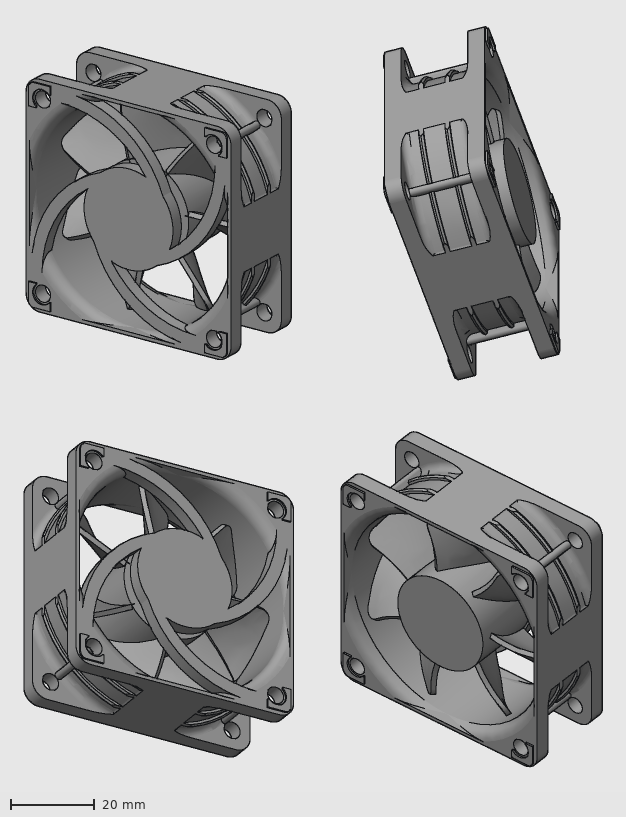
import cadquery as cq
import math


frame_size = 60.0
frame_depth = 25.0
frame_corner_radius = 4.0
flange_thickness = 4.2
front_y = -frame_depth / 2
back_y = frame_depth / 2
channel_depth = frame_depth - 2 * flange_thickness
corner_angles = (0, 90, 180, 270)

bore_diameter = 58.0
bore_radius = bore_diameter / 2
mouth_flare_radius = 3.0
barrel_radius = 31.0
barrel_fillet_radius = 2.0

pocket_start = 8.4
pocket_wall_run = 0.55
pocket_wall_drop = 0.35

ridge_positions = (-3.35, 3.25)
ridge_width = 1.2
ridge_shoulder_radius = 31.7
ridge_peak_radius = 32.05

post_offset = 22.8
post_diameter = 2.0
hole_offset = 25.0
hole_diameter = 4.4

mount_radius = 13.0
mount_thickness = 3.5
arm_count = 4
arm_outer_center = (-18.65, -2.2)
arm_outer_radius = 30.6
arm_outer_angles = (92, 15)
arm_inner_center = (-19.8, -4.5)
arm_inner_radius = 29.8
arm_inner_angles = (92, 30)

pad_thickness = 0.5
pad_inset = 1.0
pad_size = 6.35
pad_leg_width = 2.2
pad_corner_radius = 1.5
pad_hole_diameter = 5.4

rotor_radius = 13.0
rotor_front_y = -6.0
rotor_back_y = 12.0
blade_count = 7
blade_tip_radius = 28.2
blade_thickness = 1.3
blade_bow = 0.9
blade_back_y = 9.3
blade_corner_radius = 3.0
blade_stations = (
    (11.4, -5.3, -5.4, 3.1),
    (20.4, -7.25, -5.1, 4.45),
    (30.0, -8.4, -3.9, 9.85),
)


def face_plane(y):
    """Workplane at the given Y whose axes are X and Z; it extrudes toward -Y."""
    return cq.Workplane("XZ", origin=(0, y, 0))


def disc(radius, y_start, y_end):
    """Cylinder on the fan axis between two Y positions."""
    return face_plane(y_end).circle(radius).extrude(y_end - y_start)


def spin(body, angle):
    """Turn a body about the fan axis."""
    return body.rotate((0, 0, 0), (0, 1, 0), angle)


def revolve_about_axis(profile):
    """Turn a closed (radius, y) profile drawn in the XY plane around the Y axis."""
    return profile.close().revolve(360, (0, 0, 0), (0, 1, 0))


def point_on_circle(center, radius, angle):
    a = math.radians(angle)
    return (center[0] + radius * math.cos(a), center[1] + radius * math.sin(a))


def make_barrel():
    """Outer shape of the duct wall, flaring into both flanges and carrying the pointed ridges."""
    half = channel_depth / 2
    fillet = barrel_fillet_radius
    flare_radius = barrel_radius + fillet
    bulge = fillet * (1 - math.sqrt(0.5))
    barrel = revolve_about_axis(
        cq.Workplane("XY")
        .moveTo(0, -half)
        .lineTo(flare_radius, -half)
        .threePointArc((barrel_radius + bulge, -half + bulge), (barrel_radius, -half + fillet))
        .lineTo(barrel_radius, half - fillet)
        .threePointArc((barrel_radius + bulge, half - bulge), (flare_radius, half))
        .lineTo(0, half)
    )
    for y in ridge_positions:
        ridge = revolve_about_axis(
            cq.Workplane("XY")
            .moveTo(bore_radius, y - ridge_width / 2)
            .lineTo(ridge_shoulder_radius, y - ridge_width / 2)
            .lineTo(ridge_peak_radius, y)
            .lineTo(ridge_shoulder_radius, y + ridge_width / 2)
            .lineTo(bore_radius, y + ridge_width / 2)
        )
        barrel = barrel.union(ridge)
    return barrel


def make_corner_pockets():
    """Four blocks that open the corners of the frame between the flanges."""
    edge = frame_size / 2
    start = pocket_start
    inner = pocket_start + pocket_wall_run
    shelf = edge - pocket_wall_drop
    pocket = (
        face_plane(channel_depth / 2)
        .polyline([
            (start, frame_size), (start, edge), (inner, shelf), (inner, inner),
            (shelf, inner), (edge, start), (frame_size, start), (frame_size, frame_size),
        ])
        .close()
        .extrude(channel_depth)
    )
    pockets = pocket
    for angle in corner_angles[1:]:
        pockets = pockets.union(spin(pocket, angle))
    return pockets


def make_post():
    """Round post beside a mounting hole, joined to the barrel by a rib."""
    radial = post_offset * math.sqrt(2)
    post = (
        face_plane(channel_depth / 2)
        .center(post_offset, post_offset)
        .circle(post_diameter / 2)
        .extrude(channel_depth)
    )
    rib_length = radial - bore_radius
    rib = (
        cq.Workplane("XY")
        .box(rib_length, channel_depth, post_diameter)
        .translate((radial - rib_length / 2, 0, 0))
    )
    return post.union(spin(rib, -45))


def make_duct():
    """Air passage: a bore that flares at both ends, cut off flat at the frame sides."""
    half = frame_depth / 2
    flare = mouth_flare_radius
    mouth = bore_radius + flare
    bulge = flare * (1 - math.sqrt(0.5))
    passage = revolve_about_axis(
        cq.Workplane("XY")
        .moveTo(0, -half)
        .lineTo(mouth, -half)
        .threePointArc((bore_radius + bulge, -half + bulge), (bore_radius, -half + flare))
        .lineTo(bore_radius, half - flare)
        .threePointArc((bore_radius + bulge, half - bulge), (mouth, half))
        .lineTo(0, half)
    )
    return passage.intersect(cq.Workplane("XY").box(2 * bore_radius, frame_depth, 2 * bore_radius))


def make_arm():
    """Crescent arm that sweeps from the motor mount out to the frame."""
    def outer(angle):
        return point_on_circle(arm_outer_center, arm_outer_radius, angle)

    def inner(angle):
        return point_on_circle(arm_inner_center, arm_inner_radius, angle)

    return (
        face_plane(front_y + mount_thickness)
        .moveTo(*outer(arm_outer_angles[0]))
        .threePointArc(outer(sum(arm_outer_angles) / 2), outer(arm_outer_angles[1]))
        .lineTo(*inner(arm_inner_angles[1]))
        .threePointArc(inner(sum(arm_inner_angles) / 2), inner(arm_inner_angles[0]))
        .close()
        .extrude(mount_thickness)
    )


def make_housing():
    """Square frame with the duct, corner posts and motor mount in one piece."""
    frame = (
        face_plane(back_y)
        .rect(frame_size, frame_size)
        .extrude(frame_depth)
        .edges("|Y")
        .fillet(frame_corner_radius)
    )
    holes = (
        face_plane(back_y)
        .rect(2 * hole_offset, 2 * hole_offset, forConstruction=True)
        .vertices()
        .circle(hole_diameter / 2)
        .extrude(frame_depth)
    )

    frame = frame.cut(make_corner_pockets().cut(make_barrel())).cut(holes)
    post = make_post()
    for angle in corner_angles:
        frame = frame.union(spin(post, angle))
    frame = frame.cut(make_duct())
    mount = disc(mount_radius, front_y, front_y + mount_thickness)
    arm = make_arm()
    for i in range(arm_count):
        mount = mount.union(spin(arm, 360 / arm_count * i))
    return frame.union(mount)


def make_pad():
    """L-shaped pad wrapped around the mounting hole of the (+X, +Z) corner on the front face."""
    outer = frame_size / 2 - pad_inset
    inner = outer - pad_size
    notch = pad_size - pad_leg_width
    return (
        face_plane(front_y)
        .moveTo(outer, outer)
        .lineTo(inner, outer)
        .lineTo(inner, inner + notch)
        .lineTo(inner + notch, inner + notch)
        .lineTo(inner + notch, inner)
        .lineTo(outer, inner)
        .close()
        .extrude(pad_thickness)
        .edges("|Y and >X and >Z")
        .fillet(pad_corner_radius)
        .cut(
            face_plane(front_y)
            .center(hole_offset, hole_offset)
            .circle(pad_hole_diameter / 2)
            .extrude(pad_thickness)
        )
    )


def blade_section(station):
    """Slanted blade section, bowed toward +Y and square to the blade's length, as a closed wire."""
    distance, front_x, front_edge_y, back_x = station
    front = cq.Vector(front_x, front_edge_y, distance)
    back = cq.Vector(back_x, blade_back_y, distance)
    chord = (back - front).normalized()
    across = cq.Vector(chord.y, -chord.x, 0)
    middle = (front + back) * 0.5 - across * blade_bow
    offset = across * blade_thickness
    return cq.Wire.assembleEdges([
        cq.Edge.makeThreePointArc(front, middle, back),
        cq.Edge.makeLine(back, back + offset),
        cq.Edge.makeThreePointArc(back + offset, middle + offset, front + offset),
        cq.Edge.makeLine(front + offset, front),
    ])


def make_blade():
    """Twisted blade that points along +Z, trimmed to the tip radius and rounded at its tip corners."""
    loft = cq.Solid.makeLoft([blade_section(s) for s in blade_stations])
    reach = disc(blade_tip_radius, front_y, back_y)
    blade = cq.Workplane(loft).intersect(reach)
    middle_radius = (rotor_radius + blade_tip_radius) / 2
    tip_corners = [
        edge for edge in blade.edges().vals()
        if edge.Length() < 2 * blade_thickness and edge.Center().z > middle_radius
    ]
    return blade.newObject(tip_corners).fillet(blade_corner_radius)


def make_impeller():
    """Solid rotor hub with its ring of blades."""
    impeller = disc(rotor_radius, rotor_front_y, rotor_back_y)
    blade = make_blade()
    for i in range(blade_count):
        impeller = impeller.union(spin(blade, 360 / blade_count * i))
    return impeller


housing = make_housing()
impeller = make_impeller()
front_pads = [spin(make_pad(), angle) for angle in corner_angles]
back_pads = [pad.mirror("XZ") for pad in front_pads]
pads = front_pads + back_pads

result = cq.Compound.makeCompound([housing.val(), impeller.val(), *[pad.val() for pad in pads]])